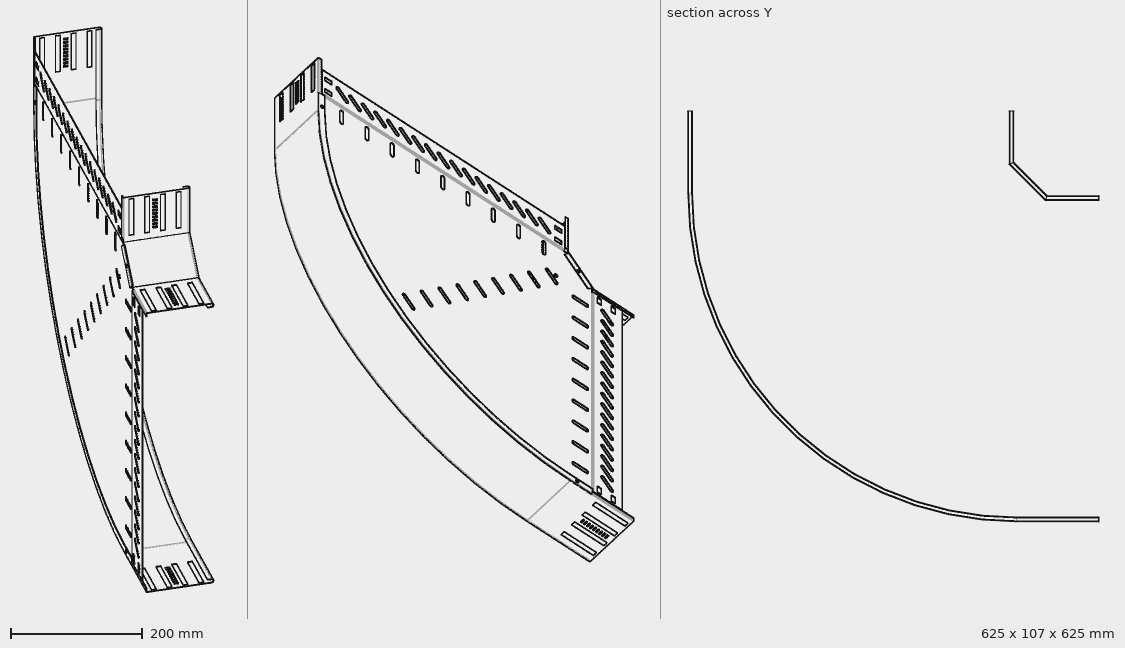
import cadquery as cq
import math


overall = 625.0
wall_height = 107.0
sheet = 1.5
bend_radius = 500.0
tray_width = 496.0
crank = 50.5

fold_radius = 1.7
roll_radius = 3.75
tail_end = 97.0
end_flange = 7.0
wide_flange = 13.6
tab_depth = 14.5
tab_length = 66.0
end_flange_gap = 5.0
rivet_diameter = 6.0
rivet_inset = 8.5
rivet_from_end = 112.0

wall_slot_length = 64.0
wall_slot_width = 7.5
wall_slot_pitch = 25.0
wall_slot_rows = 4
wall_slot_middle_y = 51.0
wall_slot_from_end = 36.0
wall_slot_middle_z = overall - wall_slot_from_end
small_slot_count = 9
small_slot_pitch = 6.0
small_slot_height = 2.5
small_slot_width = 7.0

strip_end = 602.0
step_start = 543.0
step_angle = math.radians(60)
step_inner_radius = 0.75
step_outer_radius = step_inner_radius + sheet
step_overlap = 1.0
strip_gap = 1.0
floor_slot_length = 32.0
floor_slot_width = 7.0
floor_slot_pitch = 50.0
floor_slot_count = 9
edge_slot_z = 520.0
diagonal_slot_start = 463.5
slanted_slot_length = 31.5
slanted_slot_angle = -45
strip_slot_pitch = 25.0
strip_slot_count = 17
strip_slot_z = 572.0
end_hole_length = 14.0
end_hole_width = 8.0
end_hole_rows = 2
end_hole_pitch = 27.5
end_hole_inset = 20.5
end_hole_middle_z = 570.5
corner_hole_diameter = 6.0
corner_hole_position = 472.0

slot_middle = tray_width / 2
corner_far = tray_width + crank
margin = 1.0


def plan(y):
    """Workplane at height y whose local axes are X and Z; a negative extrusion rises in +Y."""
    return cq.Workplane("XZ", origin=(0, y, 0))


def both_legs(shape):
    """The shape together with its mirror image about the plane X = Z."""
    return shape.union(shape.mirror(cq.Vector(1, 0, -1)))


def row(middle, count, pitch):
    """Evenly spaced positions centred on the middle."""
    return [middle + (i - (count - 1) / 2) * pitch for i in range(count)]



def wall_section(x, inward):
    """Wall section at an open end: rolled edge, web and the bend into the flange."""
    plane = cq.Plane(origin=(x, 0, overall), xDir=(inward, 0, 0), normal=(0, 0, inward))
    roll_y = wall_height - roll_radius
    roll_inner = roll_radius - sheet
    roll_width = 2 * roll_radius
    fold_inner = fold_radius - sheet
    fold_outer_mid = fold_radius * (1 - math.sqrt(0.5))
    fold_inner_mid = fold_radius - fold_inner * math.sqrt(0.5)
    return (
        cq.Workplane(plane)
        .moveTo(fold_radius, 0)
        .threePointArc((fold_outer_mid, fold_outer_mid), (0, fold_radius))
        .lineTo(0, roll_y)
        .threePointArc((roll_radius, wall_height), (roll_width, roll_y))
        .lineTo(roll_width, tail_end)
        .lineTo(roll_width - sheet, tail_end)
        .lineTo(roll_width - sheet, roll_y)
        .threePointArc((roll_radius, roll_y + roll_inner), (sheet, roll_y))
        .lineTo(sheet, fold_radius)
        .threePointArc((fold_inner_mid, fold_inner_mid), (fold_radius, sheet))
        .close()
    )


def wall_end_slots():
    """Cutter through both walls at the open end in +Z, and its mirror image."""
    across = cq.Workplane("YZ", origin=(-margin, 0, 0))
    depth = tray_width + 2 * margin
    long_rows = [(y, wall_slot_middle_z) for y in row(wall_slot_middle_y, wall_slot_rows, wall_slot_pitch)]
    small_rows = [
        (wall_slot_middle_y, z) for z in row(wall_slot_middle_z, small_slot_count, small_slot_pitch)
    ]
    cutter = across.pushPoints(long_rows).rect(wall_slot_width, wall_slot_length).extrude(depth)
    small = across.pushPoints(small_rows).rect(small_slot_width, small_slot_height).extrude(depth)
    return both_legs(cutter.union(small))


def curved_band(outer_inset, inner_inset):
    """Flange strip along the outer wall between two distances from its outer face."""
    def edge(inset):
        radius = bend_radius - inset
        middle = bend_radius - radius * math.sqrt(0.5)
        return (inset, bend_radius), (middle, middle), (bend_radius, inset)

    outer_start, outer_middle, outer_end = edge(outer_inset)
    inner_start, inner_middle, inner_end = edge(inner_inset)
    return (
        plan(0)
        .moveTo(outer_inset, step_start)
        .lineTo(*outer_start)
        .threePointArc(outer_middle, outer_end)
        .lineTo(step_start, outer_inset)
        .lineTo(step_start, inner_inset)
        .lineTo(*inner_end)
        .threePointArc(inner_middle, inner_start)
        .lineTo(inner_inset, step_start)
        .close()
        .extrude(-sheet)
    )


def rivet_holes():
    """Holes through the wide flange and the floor on it, one near each open end."""
    along = overall - rivet_from_end
    places = [(rivet_inset, along), (along, rivet_inset)]
    return plan(0).pushPoints(places).circle(rivet_diameter / 2).extrude(-2 * sheet)


def make_outer_wall():
    quarter_middle = bend_radius * (1 - math.sqrt(0.5))
    path = (
        plan(0)
        .moveTo(0, overall)
        .lineTo(0, bend_radius)
        .threePointArc((quarter_middle, quarter_middle), (bend_radius, 0))
        .lineTo(overall, 0)
    )
    wall = wall_section(0, 1).sweep(path)
    end_strip = (
        plan(0)
        .moveTo(fold_radius, step_start)
        .lineTo(end_flange, step_start)
        .lineTo(end_flange, overall)
        .lineTo(fold_radius, overall)
        .close()
        .extrude(-sheet)
    )
    wall = wall.union(curved_band(fold_radius, wide_flange)).union(both_legs(end_strip))
    return wall.cut(wall_end_slots()).cut(rivet_holes())


def corner_plane():
    """Plane at the middle of the cranked corner: local x along it, local y out of the tray."""
    middle = tray_width + crank / 2
    return cq.Plane(origin=(middle, 0, middle), xDir=(1, 0, -1), normal=(0, -1, 0))


def make_inner_wall():
    path = plan(0).polyline(
        [(tray_width, overall), (tray_width, corner_far), (corner_far, tray_width), (overall, tray_width)]
    )
    wall = wall_section(tray_width, -1).sweep(path, transition="right")
    flange_start = corner_far + end_flange_gap
    end_strip = (
        plan(0)
        .moveTo(tray_width - fold_radius, flange_start)
        .lineTo(tray_width - end_flange, flange_start)
        .lineTo(tray_width - end_flange, overall)
        .lineTo(tray_width - fold_radius, overall)
        .close()
        .extrude(-sheet)
    )
    tab = (
        cq.Workplane(corner_plane())
        .center(0, -(tab_depth + fold_radius) / 2)
        .rect(tab_length, tab_depth - fold_radius)
        .extrude(-sheet)
    )
    tab_hole = (
        cq.Workplane(corner_plane())
        .center(0, -rivet_inset)
        .circle(rivet_diameter / 2)
        .extrude(-sheet)
    )
    wall = wall.union(both_legs(end_strip)).union(tab.cut(tab_hole))
    return wall.cut(wall_end_slots())



def end_strip_with_step():
    """Rounded step down from the floor and the end strip level with the wall flanges."""
    near_side = end_flange + strip_gap
    far_side = tray_width - end_flange - strip_gap
    inner_bend = step_inner_radius * math.sin(step_angle)
    outer_bend = step_outer_radius * math.sin(step_angle)
    inner_drop = step_inner_radius * (1 - math.cos(step_angle))
    outer_drop = step_outer_radius * (1 - math.cos(step_angle))
    return (
        cq.Workplane("YZ", origin=(near_side, 0, 0))
        .moveTo(sheet, step_start - step_overlap)
        .lineTo(sheet, step_start)
        .tangentArcPoint((-inner_drop, inner_bend))
        .tangentArcPoint((-outer_drop, outer_bend))
        .lineTo(0, strip_end)
        .lineTo(sheet, strip_end)
        .lineTo(sheet, step_start + inner_bend + outer_bend)
        .tangentArcPoint((inner_drop, -inner_bend))
        .tangentArcPoint((outer_drop, -outer_bend))
        .lineTo(2 * sheet, step_start - step_overlap)
        .close()
        .extrude(far_side - near_side)
    )


def floor_plate():
    """Flat floor lying on the wall flanges, clear of the wall bends."""
    edge = fold_radius
    radius = bend_radius - edge
    middle = bend_radius - radius * math.sqrt(0.5)
    corner_sum = tray_width + corner_far - edge * math.sqrt(2)
    corner_start = corner_sum - step_start
    return (
        plan(sheet)
        .moveTo(edge, step_start)
        .lineTo(edge, bend_radius)
        .threePointArc((middle, middle), (bend_radius, edge))
        .lineTo(step_start, edge)
        .lineTo(step_start, corner_start)
        .lineTo(corner_start, step_start)
        .close()
        .extrude(-sheet)
    )


def floor_holes():
    depth = -2 * sheet
    slot_columns = row(slot_middle, floor_slot_count, floor_slot_pitch)
    strip_columns = row(slot_middle, strip_slot_count, strip_slot_pitch)
    end_columns = [end_hole_inset, tray_width - end_hole_inset]
    end_places = [(x, z) for x in end_columns for z in row(end_hole_middle_z, end_hole_rows, end_hole_pitch)]
    edge_slots = (
        plan(0)
        .pushPoints([(x, edge_slot_z) for x in slot_columns])
        .slot2D(floor_slot_length, floor_slot_width, 90)
        .extrude(depth)
    )
    strip_slots = (
        plan(0)
        .pushPoints([(x, strip_slot_z) for x in strip_columns])
        .slot2D(slanted_slot_length, floor_slot_width, slanted_slot_angle)
        .extrude(depth)
    )
    end_holes = plan(0).pushPoints(end_places).rect(end_hole_length, end_hole_width).extrude(depth)
    diagonal_step = floor_slot_pitch * math.sqrt(0.5)
    diagonal_places = [diagonal_slot_start - i * diagonal_step for i in range(floor_slot_count)]
    diagonal_slots = (
        plan(0)
        .pushPoints([(p, p) for p in diagonal_places])
        .slot2D(slanted_slot_length, floor_slot_width, slanted_slot_angle)
        .extrude(depth)
    )
    corner_hole = (
        plan(0)
        .center(corner_hole_position, corner_hole_position)
        .circle(corner_hole_diameter / 2)
        .extrude(depth)
    )
    leg_holes = both_legs(edge_slots.union(strip_slots).union(end_holes))
    return leg_holes.union(diagonal_slots).union(corner_hole)


def make_floor():
    floor = floor_plate().union(both_legs(end_strip_with_step()))
    return floor.cut(floor_holes()).cut(rivet_holes())


outer_wall = make_outer_wall().solids()
inner_wall = make_inner_wall().solids()
floor = make_floor().solids()

result = cq.Compound.makeCompound([outer_wall.val(), inner_wall.val(), floor.val()])